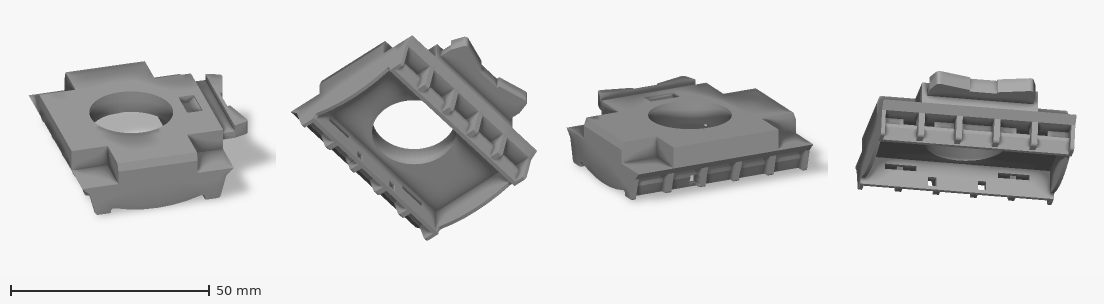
import cadquery as cq
import math

LENGTH = 49.5
WIDTH = 39.7
HEIGHT = 14.1
HALF_LENGTH = LENGTH / 2
HALF_WIDTH = WIDTH / 2
DECK_UNDERSIDE_Z = 8.15
BORE_DIAMETER = 21.15

CORNER_LENGTH = 9.9
CORNER_WIDTH = 9.45
CORNER_Z = 8.5
BEVEL_RUN = 0.75
BEVEL_DROP = 2.05

SKIRT_BEVEL = 2.0
SKIRT_Z = CORNER_Z - SKIRT_BEVEL
LEG_TOP_Y = HALF_WIDTH - SKIRT_BEVEL
LEG_SLOPE = 0.26
FOOT_Z = 0.4
FOOT_RADIUS = 0.8
RIB_FOOT_Z = 0.75

END_PLATE_THICKNESS = 1.0
BELLY_RADIUS = 37.6
BELLY_CENTER_Y = -0.4
NOTCH_RADIUS = 0.8

WALL_INNER_Y = 12.38
WALL_OUTER_Y = 13.45
WALL_BULGE_Y = 14.75
BULGE_LOW_Z = 3.4
BULGE_HIGH_Z = 4.35

RIB_THICKNESS = 1.55
RIB_SPACING = 9.65
RIB_COUNT = 4
RIB_POSITIONS = [(i - (RIB_COUNT - 1) / 2) * RIB_SPACING for i in range(RIB_COUNT)]
OUTER_RIB_X = RIB_POSITIONS[-1]
WINDOW_LENGTH = 8.0
WINDOW_BOTTOM_Z = 5.1
SLOT_LENGTH = 2.1
SLOT_CENTER_X = 6.4
SLOT_BOTTOM_Z = 1.35
SLOT_TOP_Z = 3.8

TONGUE_HALF_LENGTH = 13.55
TONGUE_BOTTOM_Z = 10.5
TONGUE_TOP_Z = 12.38
LIP_Y = 23.25
LIP_PEAK_X = 12.2
LIP_PEAK_Y = 27.3
LIP_PEAK_RADIUS = 1.0
LIP_VALLEY_X = 3.5
LIP_VALLEY_Y = 24.95
LIP_GAP_Y = 24.15

POCKET_HALF_LENGTH = 4.15
POCKET_FRONT_Y = 13.5
POCKET_REAR_Y = 17.55
POCKET_CORNER_RADIUS = 0.4
POCKET_DEPTH = 2.0
RAMP_HEIGHT = 1.5
RAMP_HALF_LENGTH = 3.75
RAMP_LEDGE = 0.25


def block(x_range, y_range, z_range):
    """Box between pairs of limits."""
    (x0, x1), (y0, y1), (z0, z1) = x_range, y_range, z_range
    return cq.Workplane("XY").box(x1 - x0, y1 - y0, z1 - z0, centered=False).translate((x0, y0, z0))


def along_x(outline, x_start, x_end):
    """Extrude a closed YZ outline between two X positions."""
    return outline.extrude(x_end - x_start).translate((x_start, 0, 0))


def fillet_at(solid, radius, points):
    """Round the X-parallel edges nearest to the given points."""
    for point in points:
        solid = solid.edges("|X").edges(cq.selectors.NearestToPointSelector(point)).fillet(radius)
    return solid


def leg_y(z):
    """Distance of the sloping leg face from the middle plane."""
    return LEG_TOP_Y - LEG_SLOPE * (SKIRT_Z - z)


def belly_z(y):
    """Height of the curved belly, which touches z = 0 at its lowest point."""
    return BELLY_RADIUS - math.sqrt(BELLY_RADIUS ** 2 - (y - BELLY_CENTER_Y) ** 2)


def make_deck():
    """Cross-shaped deck with bevelled under-edges, hollowed between the long walls."""
    outline = cq.Workplane("YZ").polyline([
        (-LEG_TOP_Y, SKIRT_Z),
        (-HALF_WIDTH, CORNER_Z),
        (-HALF_WIDTH, HEIGHT),
        (HALF_WIDTH, HEIGHT),
        (HALF_WIDTH, CORNER_Z),
        (LEG_TOP_Y, SKIRT_Z),
    ]).close()
    deck = along_x(outline, -HALF_LENGTH, HALF_LENGTH)
    bevel = (
        cq.Workplane("XZ")
        .polyline([
            (HALF_LENGTH, HEIGHT),
            (HALF_LENGTH - BEVEL_RUN, HEIGHT),
            (HALF_LENGTH, HEIGHT - BEVEL_DROP),
        ])
        .close()
        .extrude(HALF_WIDTH, both=True)
    )
    deck = deck.cut(bevel).cut(bevel.mirror("YZ"))
    corner = block(
        (HALF_LENGTH - CORNER_LENGTH, HALF_LENGTH),
        (HALF_WIDTH - CORNER_WIDTH, HALF_WIDTH),
        (CORNER_Z, HEIGHT),
    )
    corner_pair = corner.union(corner.mirror("YZ"))
    deck = deck.cut(corner_pair).cut(corner_pair.mirror("XZ"))
    inner_x = HALF_LENGTH - END_PLATE_THICKNESS
    cavity = block((-inner_x, inner_x), (-WALL_INNER_Y, WALL_INNER_Y), (0, DECK_UNDERSIDE_Z))
    return deck.cut(cavity)


def make_end_plate():
    """Lower part of the +X end plate, with a foot at each side of the belly."""
    foot_y = leg_y(FOOT_Z)
    notch_front = (-WALL_INNER_Y, belly_z(-WALL_INNER_Y))
    notch_rear = (WALL_INNER_Y, belly_z(WALL_INNER_Y))
    outline = (
        cq.Workplane("YZ")
        .moveTo(-LEG_TOP_Y, SKIRT_Z)
        .lineTo(-foot_y, FOOT_Z)
        .lineTo(-WALL_INNER_Y, FOOT_Z)
        .lineTo(*notch_front)
        .threePointArc((BELLY_CENTER_Y, 0), notch_rear)
        .lineTo(WALL_INNER_Y, FOOT_Z)
        .lineTo(foot_y, FOOT_Z)
        .lineTo(LEG_TOP_Y, SKIRT_Z)
        .close()
    )
    plate = along_x(outline, HALF_LENGTH - END_PLATE_THICKNESS, HALF_LENGTH)
    plate_x = HALF_LENGTH - END_PLATE_THICKNESS / 2
    plate = fillet_at(plate, FOOT_RADIUS, [(plate_x, -foot_y, FOOT_Z), (plate_x, foot_y, FOOT_Z)])
    return fillet_at(plate, NOTCH_RADIUS, [(plate_x, *notch_front), (plate_x, *notch_rear)])


def make_rear_wall():
    """Rear long wall; its lower part bulges outward above a sloping face."""
    outline = cq.Workplane("YZ").polyline([
        (WALL_INNER_Y, DECK_UNDERSIDE_Z),
        (WALL_INNER_Y, FOOT_Z),
        (WALL_OUTER_Y, FOOT_Z),
        (WALL_BULGE_Y, BULGE_LOW_Z),
        (WALL_BULGE_Y, BULGE_HIGH_Z),
        (WALL_OUTER_Y, BULGE_HIGH_Z),
        (WALL_OUTER_Y, DECK_UNDERSIDE_Z),
    ]).close()
    wall = along_x(outline, -HALF_LENGTH, HALF_LENGTH)
    for side in (-1, 1):
        center_x = side * OUTER_RIB_X
        wall = wall.cut(block(
            (center_x - WINDOW_LENGTH / 2, center_x + WINDOW_LENGTH / 2),
            (WALL_INNER_Y, WALL_BULGE_Y),
            (WINDOW_BOTTOM_Z, SKIRT_Z),
        ))
    return wall


def make_rear_rib(center_x):
    """Gusset between the rear wall and the sloping leg face."""
    foot_y = leg_y(RIB_FOOT_Z)
    outline = cq.Workplane("YZ").polyline([
        (WALL_OUTER_Y, SKIRT_Z),
        (WALL_OUTER_Y, RIB_FOOT_Z),
        (foot_y, RIB_FOOT_Z),
        (LEG_TOP_Y, SKIRT_Z),
    ]).close()
    rib = along_x(outline, center_x - RIB_THICKNESS / 2, center_x + RIB_THICKNESS / 2)
    return fillet_at(rib, FOOT_RADIUS, [(center_x, foot_y, RIB_FOOT_Z)])


def make_tongue():
    """Thin tongue ending in a full-height lip with two rounded peaks."""
    tongue = block(
        (-TONGUE_HALF_LENGTH, TONGUE_HALF_LENGTH),
        (HALF_WIDTH, LIP_Y),
        (TONGUE_BOTTOM_Z, TONGUE_TOP_Z),
    )
    right_half = [
        (LIP_VALLEY_X, LIP_GAP_Y),
        (LIP_VALLEY_X, LIP_VALLEY_Y),
        (LIP_PEAK_X, LIP_PEAK_Y),
        (TONGUE_HALF_LENGTH, LIP_Y),
    ]
    left_half = [(-x, y) for x, y in reversed(right_half)]
    lip = (
        cq.Workplane("XY", origin=(0, 0, TONGUE_BOTTOM_Z))
        .polyline(right_half + left_half)
        .close()
        .extrude(HEIGHT - TONGUE_BOTTOM_Z)
    )
    for side in (-1, 1):
        peak = (side * LIP_PEAK_X, LIP_PEAK_Y, (TONGUE_BOTTOM_Z + HEIGHT) / 2)
        lip = lip.edges("|Z").edges(cq.selectors.NearestToPointSelector(peak)).fillet(LIP_PEAK_RADIUS)
    return tongue.union(lip)


def make_pocket():
    """Blind rounded pocket that leaves a 45 degree ramp against its rear wall."""
    floor_z = HEIGHT - POCKET_DEPTH
    ramp_top_z = floor_z + RAMP_HEIGHT
    ramp_top_y = POCKET_REAR_Y - RAMP_LEDGE
    pocket = block(
        (-POCKET_HALF_LENGTH, POCKET_HALF_LENGTH),
        (POCKET_FRONT_Y, POCKET_REAR_Y),
        (floor_z, HEIGHT),
    ).edges("|Z").fillet(POCKET_CORNER_RADIUS)
    ramp_outline = cq.Workplane("YZ").polyline([
        (POCKET_REAR_Y, floor_z),
        (ramp_top_y - RAMP_HEIGHT, floor_z),
        (ramp_top_y, ramp_top_z),
        (POCKET_REAR_Y, ramp_top_z),
    ]).close()
    return pocket.cut(along_x(ramp_outline, -RAMP_HALF_LENGTH, RAMP_HALF_LENGTH))


def cut_front_slots(body):
    """Two slots through the front wall that also nick the neighbouring ribs."""
    for side in (-1, 1):
        center_x = side * SLOT_CENTER_X
        body = body.cut(block(
            (center_x - SLOT_LENGTH / 2, center_x + SLOT_LENGTH / 2),
            (-HALF_WIDTH, -WALL_INNER_Y),
            (SLOT_BOTTOM_Z, SLOT_TOP_Z),
        ))
    return body


rear_side = make_rear_wall()
for rib_x in RIB_POSITIONS:
    rear_side = rear_side.union(make_rear_rib(rib_x))
end_plate = make_end_plate()
bore = cq.Workplane("XY").circle(BORE_DIAMETER / 2).extrude(HEIGHT)

body = make_deck().union(end_plate).union(end_plate.mirror("YZ"))
body = body.union(rear_side).union(rear_side.mirror("XZ"))
body = cut_front_slots(body)
result = body.union(make_tongue()).cut(make_pocket()).cut(bore)